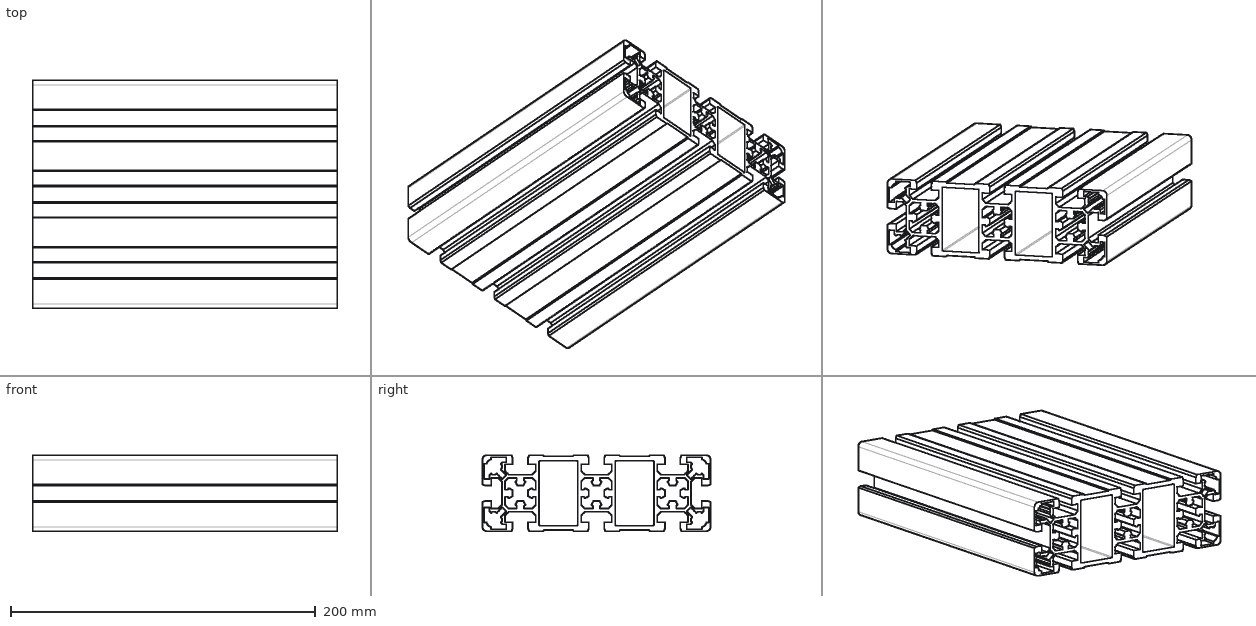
import cadquery as cq

LENGTH = 200.0
MODULE = 50.0
MODULE_COUNT = 3
HALF = MODULE / 2
ROW_WIDTH = MODULE * MODULE_COUNT
OUTER_RADIUS = 3.0

MOUTH_HALF = 5.0
MOUTH_BEVEL_ACROSS = 0.8
MOUTH_BEVEL_DEPTH = 1.8
LIP_THICKNESS = 6.0
CHAMBER_HALF = 10.0
SLOT_FLOOR = 12.2
CHAMBER_CHAMFER = 2.5

CORE_HALF = 10.0
CORE_CHAMFER = 2.2
RIB_TIP = 5.0
RIB_TIP_HALF = 2.0
RIB_BARB = 7.5
RIB_BARB_HALF = 3.5
RIB_NECK = 8.5
RIB_NECK_HALF = 2.5

SKIN = 1.5
HOLLOW_OUTER = HALF - SKIN
CORNER_PAD = 4.5
PAD_STEP = 1.5
SCOOP_RADIUS = 4.5
LIP_POCKET_SIDE = 9.5
LIP_POCKET_FLOOR = HALF - LIP_THICKNESS + SKIN
SLOT_WALL = 2.2
WALL_SIDE = CHAMBER_HALF + SLOT_WALL
WALL_BEAD = 0.8
BEAD_CHAMFER = 1.2
UPPER_BEAD_LENGTH = 0.8
LOWER_BEAD_SLOPE = 1.0
CHANNEL_OFFSET = 2.5
CHANNEL_END_SUM = 21.2

BOX_WIDTH = 25.2
BOX_HEIGHT = 42.5
BOX_RADIUS = 0.5
RECESS_WIDTH = 20.0
RECESS_DEPTH = 0.7
RECESS_SLOPE = 0.5


def prism(points):
    """Closed polygon in the YZ plane, extruded over the whole length."""
    return cq.Workplane("YZ").polyline(points).close().extrude(LENGTH)


def mirrored_outline(half_points):
    """Full outline from its positive-across half, given in order."""
    return half_points + [(-across, out) for across, out in reversed(half_points)]


def turned(solid, angle):
    """The solid turned about the module axis."""
    return solid.rotate((0, 0, 0), (1, 0, 0), angle)


def slot():
    """T-slot opening toward +Z."""
    chamber_top = HALF - LIP_THICKNESS
    return prism(mirrored_outline([
        (CHAMBER_HALF - CHAMBER_CHAMFER, SLOT_FLOOR),
        (CHAMBER_HALF, SLOT_FLOOR + CHAMBER_CHAMFER),
        (CHAMBER_HALF, chamber_top),
        (MOUTH_HALF, chamber_top),
        (MOUTH_HALF, HALF - MOUTH_BEVEL_DEPTH),
        (MOUTH_HALF + MOUTH_BEVEL_ACROSS, HALF),
    ]))


def screw_rib():
    """Barbed rib on the +Z wall of the core, pointing at the module axis."""
    return prism(mirrored_outline([
        (RIB_TIP_HALF, RIB_TIP),
        (RIB_BARB_HALF, RIB_BARB),
        (RIB_NECK_HALF, RIB_NECK),
        (RIB_NECK_HALF, CORE_HALF),
    ]))


def core():
    """Hollow centre of a module, with the ribs left standing."""
    hollow = (
        cq.Workplane("YZ").rect(2 * CORE_HALF, 2 * CORE_HALF).extrude(LENGTH)
        .edges("|X").chamfer(CORE_CHAMFER)
    )
    for turn in range(4):
        hollow = hollow.cut(turned(screw_rib(), 90 * turn))
    return hollow


def corner_hollow():
    """Hollow of the +Y +Z corner, symmetric about the corner diagonal."""
    bead_side = WALL_SIDE + WALL_BEAD
    upper_bead = LIP_POCKET_FLOOR - BEAD_CHAMFER
    lower_bead = bead_side + CHANNEL_OFFSET
    pad_edge = HOLLOW_OUTER - CORNER_PAD
    pad_face = HOLLOW_OUTER - PAD_STEP
    half = [
        (pad_edge, pad_face),
        (pad_edge, HOLLOW_OUTER),
        (LIP_POCKET_SIDE, HOLLOW_OUTER),
        (LIP_POCKET_SIDE, LIP_POCKET_FLOOR),
        (bead_side - BEAD_CHAMFER, LIP_POCKET_FLOOR),
        (bead_side, upper_bead),
        (WALL_SIDE, upper_bead - UPPER_BEAD_LENGTH),
        (WALL_SIDE, lower_bead + LOWER_BEAD_SLOPE),
        (bead_side, lower_bead),
        ((CHANNEL_END_SUM - CHANNEL_OFFSET) / 2, (CHANNEL_END_SUM + CHANNEL_OFFSET) / 2),
    ]
    other_half = [(out, across) for across, out in reversed(half)]
    return (
        cq.Workplane("YZ").polyline(half + other_half)
        .radiusArc((pad_edge, pad_face), -SCOOP_RADIUS)
        .close().extrude(LENGTH)
    )


def box_tube():
    """Rectangular hollow between two modules."""
    return (
        cq.Workplane("YZ").rect(BOX_WIDTH, BOX_HEIGHT).extrude(LENGTH)
        .edges("|X").fillet(BOX_RADIUS)
    )


def face_recess():
    """Shallow recess with sloped sides in the +Z face over a box tube."""
    return prism(mirrored_outline([
        (RECESS_WIDTH / 2 - RECESS_SLOPE, HALF - RECESS_DEPTH),
        (RECESS_WIDTH / 2, HALF),
    ]))


body = (
    cq.Workplane("YZ").rect(ROW_WIDTH, MODULE).extrude(LENGTH)
    .edges("|X").fillet(OUTER_RADIUS)
)

last_module_y = (ROW_WIDTH - MODULE) / 2

for index in range(MODULE_COUNT):
    module_y = index * MODULE - last_module_y
    body = body.cut(core().translate((0, module_y, 0)))
    for angle in (0, 180):
        body = body.cut(turned(slot(), angle).translate((0, module_y, 0)))

for index in range(MODULE_COUNT - 1):
    tube_y = (index + 0.5) * MODULE - last_module_y
    body = body.cut(box_tube().translate((0, tube_y, 0)))
    for angle in (0, 180):
        body = body.cut(turned(face_recess(), angle).translate((0, tube_y, 0)))

for side, slot_angle, corner_angles in ((1, -90, (0, -90)), (-1, 90, (90, 180))):
    end_y = side * last_module_y
    body = body.cut(turned(slot(), slot_angle).translate((0, end_y, 0)))
    for angle in corner_angles:
        body = body.cut(turned(corner_hollow(), angle).translate((0, end_y, 0)))

result = body.translate((-LENGTH / 2, 0, 0))